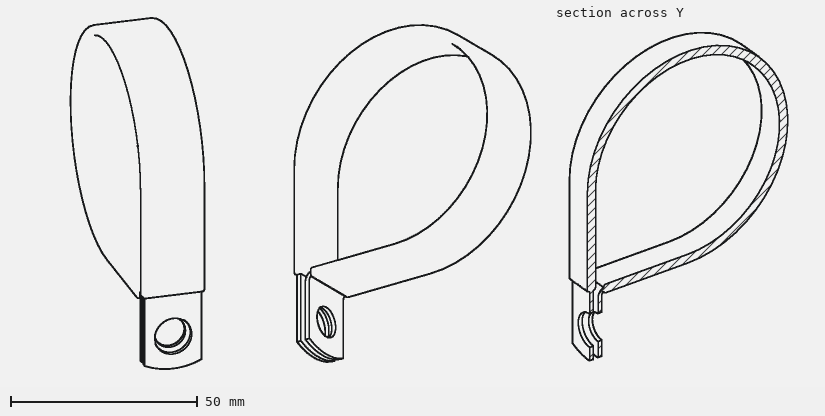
import cadquery as cq
import math

cushion_width = 17.46
cushion_outer_radius = 32.97
sleeve_thickness = 0.79
strap_thickness = 1.27
cushion_thickness = strap_thickness + 2 * sleeve_thickness
cushion_inner_radius = cushion_outer_radius - cushion_thickness
edge_fillet = 0.78

horizontal_arm_length = 27.55
vertical_arm_length = 30.85

strap_width = cushion_width - 2 * sleeve_thickness
strap_outer_radius = cushion_outer_radius - sleeve_thickness
strap_inner_radius = strap_outer_radius - strap_thickness
bend_outer_radius = 2 * strap_thickness
bend_inner_radius = bend_outer_radius - strap_thickness

tab_gap = 1.5
tab_tip_z = -52.3
tab_tip_radius = 19.05
near_hole_diameter = 8.6
far_hole_diameter = 10.32
hole_z = -42.85
near_tab_right = strap_inner_radius - tab_gap
near_tab_left = near_tab_right - strap_thickness
bend_start_x = near_tab_right - bend_outer_radius
bend_center_z = -strap_inner_radius - bend_outer_radius

diagonal = math.sqrt(0.5)


def front_sketch(width):
    """Workplane facing -Y, placed so an extrusion of `width` is centred on Y = 0."""
    return cq.Workplane("XZ", origin=(0, width / 2, 0))


def make_cushion():
    """Three-quarter loop with two straight arms, rounded along every edge."""
    outer = cushion_outer_radius
    inner = cushion_inner_radius
    body = (
        front_sketch(cushion_width)
        .moveTo(outer, -vertical_arm_length)
        .lineTo(outer, 0)
        .threePointArc((-outer * diagonal, outer * diagonal), (0, -outer))
        .lineTo(horizontal_arm_length, -outer)
        .lineTo(horizontal_arm_length, -inner)
        .lineTo(0, -inner)
        .threePointArc((-inner * diagonal, inner * diagonal), (inner, 0))
        .lineTo(inner, -vertical_arm_length)
        .close()
        .extrude(cushion_width)
    )
    return body.edges().fillet(edge_fillet)


def make_far_tab():
    """Straight strap end, running down from the vertical arm."""
    return (
        front_sketch(strap_width)
        .moveTo(strap_inner_radius, 0)
        .lineTo(strap_outer_radius, 0)
        .lineTo(strap_outer_radius, tab_tip_z)
        .lineTo(strap_inner_radius, tab_tip_z)
        .close()
        .extrude(strap_width)
    )


def make_near_tab():
    """Strap end bent down from the horizontal arm to lie beside the far tab."""
    bend_top_z = -strap_inner_radius
    bend_under_z = -strap_outer_radius
    outer_mid = (
        bend_start_x + bend_outer_radius * diagonal,
        bend_center_z + bend_outer_radius * diagonal,
    )
    inner_mid = (
        bend_start_x + bend_inner_radius * diagonal,
        bend_center_z + bend_inner_radius * diagonal,
    )
    return (
        front_sketch(strap_width)
        .moveTo(0, bend_top_z)
        .lineTo(bend_start_x, bend_top_z)
        .threePointArc(outer_mid, (near_tab_right, bend_center_z))
        .lineTo(near_tab_right, tab_tip_z)
        .lineTo(near_tab_left, tab_tip_z)
        .lineTo(near_tab_left, bend_center_z)
        .threePointArc(inner_mid, (bend_start_x, bend_under_z))
        .lineTo(0, bend_under_z)
        .close()
        .extrude(strap_width)
    )


def shape_tab(tab, hole_diameter):
    """Round the tab tip to a shallow arc and drill the bolt hole."""
    half_width = strap_width / 2
    tip_rise = tab_tip_radius - math.sqrt(tab_tip_radius**2 - half_width**2)
    side_z = tab_tip_z + tip_rise
    outline = (
        cq.Workplane("YZ")
        .moveTo(-half_width, 0)
        .lineTo(-half_width, side_z)
        .threePointArc((0, tab_tip_z), (half_width, side_z))
        .lineTo(half_width, 0)
        .close()
        .extrude(cushion_outer_radius)
    )
    hole = (
        cq.Workplane("YZ")
        .center(0, hole_z)
        .circle(hole_diameter / 2)
        .extrude(cushion_outer_radius)
    )
    return tab.intersect(outline).cut(hole)


far_tab = shape_tab(make_far_tab(), far_hole_diameter)
near_tab = shape_tab(make_near_tab(), near_hole_diameter)
result = make_cushion().union(far_tab).union(near_tab)